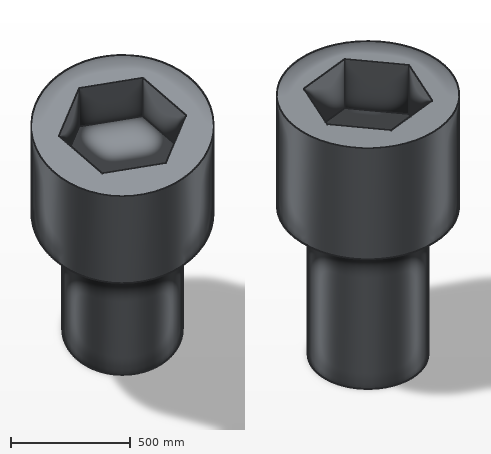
import cadquery as cq
import math

total_length = 1334.0
head_diameter = 761.0
head_height = 572.0
shank_diameter = 505.0
socket_across_flats = 470.0
socket_depth = 253.0

shank_length = total_length - head_height
socket_across_corners = socket_across_flats / math.cos(math.pi / 6)

shank = cq.Workplane("XY").circle(shank_diameter / 2).extrude(shank_length)

head = (
    cq.Workplane("XY")
    .workplane(offset=shank_length)
    .circle(head_diameter / 2)
    .extrude(head_height)
)

socket = (
    cq.Workplane("XY")
    .workplane(offset=total_length)
    .polygon(6, socket_across_corners)
    .extrude(-socket_depth)
)

result = shank.union(head).cut(socket)